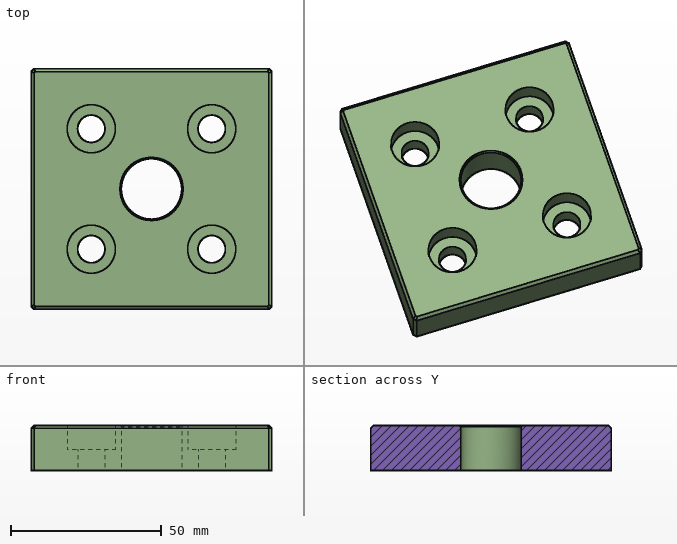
import cadquery as cq

plate_side = 80.0
plate_thickness = 15.0
edge_chamfer = 1.0

bore_diameter = 20.0
bore_chamfer = 0.5
bore_chamfer_angle = 90.0

screw_spacing = 40.0
screw_hole_diameter = 9.0
counterbore_diameter = 16.0
counterbore_depth = 8.0


def make_plate():
    """Square plate with its upright edges and top rim chamfered."""
    plate = cq.Workplane("XY").box(
        plate_side, plate_side, plate_thickness, centered=(True, True, False)
    )
    plate = plate.edges("|Z").chamfer(edge_chamfer)
    return plate.faces(">Z").edges().chamfer(edge_chamfer)


def cut_central_bore(body):
    """Through bore with a small chamfer at its top mouth."""
    return body.faces(">Z").workplane().cskHole(
        bore_diameter, bore_diameter + 2 * bore_chamfer, bore_chamfer_angle
    )


def cut_screw_holes(body):
    """Four through holes, counterbored from the top face."""
    return (
        body.faces(">Z")
        .workplane()
        .rarray(screw_spacing, screw_spacing, 2, 2)
        .cboreHole(screw_hole_diameter, counterbore_diameter, counterbore_depth)
    )


result = cut_screw_holes(cut_central_bore(make_plate()))